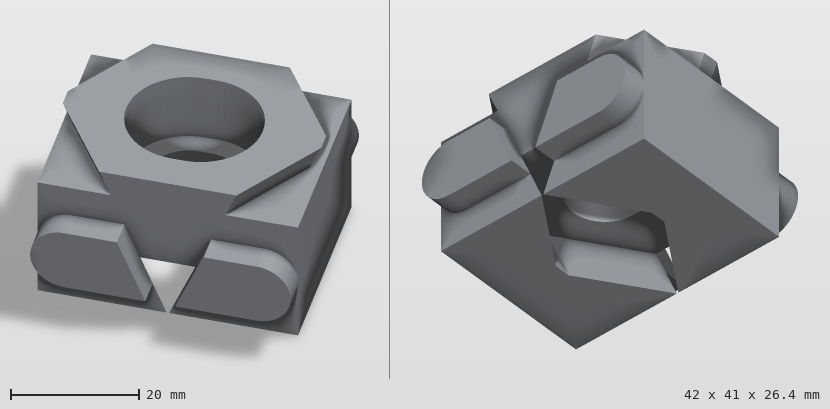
import cadquery as cq
import math

jaw_pair_length = 42.0
block_depth = 32.0
block_height = 21.95
overall_height = 26.35

ear_projection = 4.5
ear_height = 11.0

flank_angle = 22.5
bottom_gap = 0.35
wedge_height = 16.0
wedge_top_length = 41.65
nose_width = 3.0

bore_length = 22.0
bore_width = 20.0
bore_depth = 12.0
bolt_slot_length = 15.0
bolt_slot_width = 13.0

half_length = jaw_pair_length / 2
half_depth = block_depth / 2
half_gap = bottom_gap / 2
half_nose = nose_width / 2
flank_slope = math.tan(math.radians(flank_angle))
ear_span = block_depth + 2 * ear_projection
wedge_bottom = overall_height - wedge_height


def hexagon_points(z):
    """Corners of the wedge outline at height z."""
    inset = (overall_height - z) * flank_slope
    nose_x = wedge_top_length / 2 - inset
    end_x = half_gap + z * flank_slope
    return [
        (end_x, -half_depth),
        (nose_x, -half_nose),
        (nose_x, half_nose),
        (end_x, half_depth),
        (-end_x, half_depth),
        (-nose_x, half_nose),
        (-nose_x, -half_nose),
        (-end_x, -half_depth),
    ]


def make_tapered_hexagon(bottom_z):
    """Hexagonal solid from bottom_z up to the wedge top."""
    return (
        cq.Workplane("XY", origin=(0, 0, bottom_z))
        .polyline(hexagon_points(bottom_z)).close()
        .workplane(offset=overall_height - bottom_z)
        .polyline(hexagon_points(overall_height)).close()
        .loft(ruled=True)
    )


def make_wedge():
    """Tapered hexagon with a slotted, counterbored bolt hole."""
    top = cq.Workplane("XY", origin=(0, 0, overall_height))
    counterbore = top.slot2D(bore_length, bore_width).extrude(-bore_depth)
    bolt_slot = top.slot2D(bolt_slot_length, bolt_slot_width).extrude(-wedge_height)
    return make_tapered_hexagon(wedge_bottom).cut(counterbore).cut(bolt_slot)


def make_jaw(side):
    """Jaw on the +X (side = 1) or -X (side = -1) side of the wedge."""
    block = cq.Workplane("XY").box(
        jaw_pair_length, block_depth, block_height, centered=(True, True, False)
    )
    ears = (
        cq.Workplane("XZ", origin=(0, 0, block_height / 2))
        .slot2D(jaw_pair_length, ear_height)
        .extrude(ear_span / 2, both=True)
    )
    flank_side = (
        cq.Workplane("XZ")
        .moveTo(side * half_gap, 0)
        .lineTo(side * half_length, 0)
        .lineTo(side * half_length, block_height)
        .lineTo(side * (half_gap + block_height * flank_slope), block_height)
        .close()
        .extrude(ear_span / 2, both=True)
    )
    recess = make_tapered_hexagon(0)
    return block.union(ears).intersect(flank_side).cut(recess)


wedge = make_wedge()
jaws = [make_jaw(side) for side in (-1, 1)]

result = cq.Compound.makeCompound([wedge.val(), *[jaw.val().Solids()[0] for jaw in jaws]])